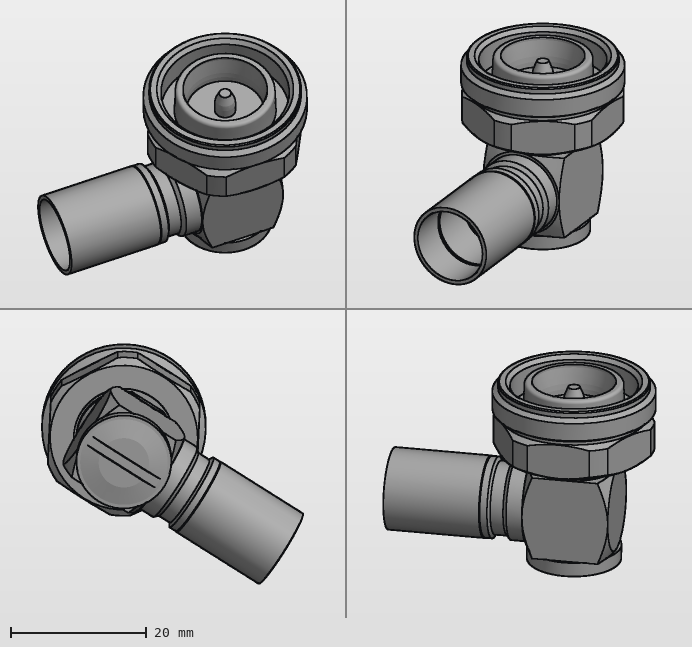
import cadquery as cq
import math


OVERALL_LENGTH = 39.6

BLOCK_HALF = 6.5
BLOCK_BEVEL_ANGLE = math.radians(30)

RIM_Z = 19.72
NUT_DIAMETER = 24.2
NUT_RADIUS = NUT_DIAMETER / 2
LIP_RADIUS = 11.25
LIP_BREAK = 0.2
NECK_RADIUS = 10.9
LIP_BOTTOM = 0.95
NUT_BAND_TOP = 1.5
NUT_BAND_BOTTOM = 4.28
NECK_TOP = 4.95
HEX_TOP = 5.45
HEX_CORNER_TOP = 6.05
HEX_CORNER_BOTTOM = 10.3
HEX_BOTTOM = 11.0
HEX_APOTHEM = 11.0
HEX_CORNER_RADIUS = 11.95
SOCKET_DEPTH = 4.55
SOCKET_RADIUS = 9.45
SOCKET_CHAMFER = 0.65

SLEEVE_TOP_RADIUS = 7.35
SLEEVE_BASE_RADIUS = 7.52
SLEEVE_ROUND = 0.5
SLEEVE_MOUTH_RADIUS = 6.2
SLEEVE_MOUTH_DEPTH = 0.45
SLEEVE_THROAT_RADIUS = 5.8
SLEEVE_THROAT_DEPTH = 2.85
SLEEVE_SEAT_RADIUS = 5.7
SLEEVE_SEAT_DEPTH = 3.7

PIN_RADIUS = 1.55
PIN_SHOULDER_RADIUS = 1.43
PIN_TIP_RADIUS = 0.87
PIN_TIP_DEPTH = 0.87
PIN_SHOULDER_DEPTH = 2.2
PIN_BODY_DEPTH = 3.13

FLANGE_RADIUS = 7.4
FLANGE_BOTTOM = 11.25
COLLAR_RADIUS = 7.05
COLLAR_BOTTOM_RADIUS = BLOCK_HALF
COLLAR_CHAMFER_HEIGHT = 0.87

CAP_RADIUS = 7.0
CAP_HEIGHT = 2.18
DOME_BASE_RADIUS = 6.45
DOME_FLAT_RADIUS = 3.72
DOME_HEIGHT = 0.6
CAP_SLOT_WIDTH = 1.5
CAP_SLOT_DEPTH = 0.48

CABLE_DROP = 0.08
CABLE_LENGTH = OVERALL_LENGTH - NUT_RADIUS
ENTRY_RADIUS = 6.1
ENTRY_NECK_RADIUS = 5.5
ENTRY_SHOULDER_END = 8.95
ENTRY_NECK_START = 9.55
ENTRY_NECK_END = 11.5
FERRULE_SEAT_START = 11.85
FERRULE_START = 12.95
FERRULE_RADIUS = 6.15
FERRULE_GAP = 0.1
FERRULE_GAP_DEPTH = 0.08
FERRULE_BORE_RADIUS = 5.5
BORE_GROOVE_DEPTH = 0.08
BORE_GROOVE_END = 21.4
BORE_GROOVE_WIDTH = 0.4
STEM_RADIUS = 4.8
STEM_TIP_RADIUS = 4.1
STEM_BORE_RADIUS = 3.9
STEM_END = 15.85
STEM_CHAMFER_LENGTH = 1.3
INSULATOR_RADIUS = 3.8
INSULATOR_STEP = 0.15


def turn_mating(points):
    """Revolve (radius, depth below the rim) points about Z."""
    profile = cq.Workplane("XZ").polyline([(r, RIM_Z - depth) for r, depth in points]).close()
    return profile.revolve(360, (0, 0, 0), (0, 1, 0))


def turn_cable(points):
    """Revolve (radius, distance along -Y) points about Y."""
    profile = cq.Workplane("XY").polyline([(r, -distance) for r, distance in points]).close()
    return profile.revolve(360, (0, 0, 0), (0, 1, 0))


def make_block():
    size = 2 * BLOCK_HALF
    bevel_radius = BLOCK_HALF * math.sqrt(2)
    bevel_length = (bevel_radius - BLOCK_HALF) * math.tan(BLOCK_BEVEL_ANGLE)
    turned_limit = turn_cable([
        (0, -BLOCK_HALF),
        (BLOCK_HALF, -BLOCK_HALF),
        (bevel_radius, bevel_length - BLOCK_HALF),
        (bevel_radius, BLOCK_HALF - bevel_length),
        (BLOCK_HALF, BLOCK_HALF),
        (0, BLOCK_HALF),
    ])
    return cq.Workplane("XY").box(size, size, size).intersect(turned_limit)


def make_nut():
    head = turn_mating([
        (0, SOCKET_DEPTH),
        (SOCKET_RADIUS, SOCKET_DEPTH),
        (SOCKET_RADIUS, SOCKET_CHAMFER),
        (SOCKET_RADIUS + SOCKET_CHAMFER, 0),
        (LIP_RADIUS - LIP_BREAK, 0),
        (LIP_RADIUS, LIP_BREAK),
        (LIP_RADIUS, LIP_BOTTOM),
        (NUT_RADIUS, NUT_BAND_TOP),
        (NUT_RADIUS, NUT_BAND_BOTTOM),
        (NECK_RADIUS, NECK_TOP),
        (NECK_RADIUS, HEX_TOP),
        (0, HEX_TOP),
    ])
    hex_limit = turn_mating([
        (0, HEX_TOP),
        (NECK_RADIUS, HEX_TOP),
        (HEX_CORNER_RADIUS, HEX_CORNER_TOP),
        (HEX_CORNER_RADIUS, HEX_CORNER_BOTTOM),
        (NECK_RADIUS, HEX_BOTTOM),
        (0, HEX_BOTTOM),
    ])
    hexagon = (
        cq.Workplane("XY", origin=(0, 0, RIM_Z - HEX_BOTTOM))
        .polygon(6, 2 * HEX_APOTHEM, circumscribed=True)
        .extrude(HEX_BOTTOM - HEX_TOP)
    )
    return head.union(hexagon.intersect(hex_limit))


def make_sleeve():
    round_mid = SLEEVE_ROUND * math.sqrt(0.5)
    round_center_r = SLEEVE_TOP_RADIUS - SLEEVE_ROUND
    round_center_z = RIM_Z - SLEEVE_ROUND
    floor_z = RIM_Z - SOCKET_DEPTH
    return (
        cq.Workplane("XZ")
        .moveTo(SLEEVE_SEAT_RADIUS, floor_z)
        .lineTo(SLEEVE_BASE_RADIUS, floor_z)
        .lineTo(SLEEVE_TOP_RADIUS, round_center_z)
        .threePointArc((round_center_r + round_mid, round_center_z + round_mid), (round_center_r, RIM_Z))
        .lineTo(SLEEVE_MOUTH_RADIUS, RIM_Z)
        .lineTo(SLEEVE_MOUTH_RADIUS, RIM_Z - SLEEVE_MOUTH_DEPTH)
        .lineTo(SLEEVE_THROAT_RADIUS, RIM_Z - SLEEVE_THROAT_DEPTH)
        .lineTo(SLEEVE_SEAT_RADIUS, RIM_Z - SLEEVE_SEAT_DEPTH)
        .close()
        .revolve(360, (0, 0, 0), (0, 1, 0))
    )


def make_pin():
    return (
        cq.Workplane("XZ")
        .moveTo(0, RIM_Z - SOCKET_DEPTH)
        .lineTo(PIN_RADIUS, RIM_Z - SOCKET_DEPTH)
        .lineTo(PIN_RADIUS, RIM_Z - PIN_BODY_DEPTH)
        .tangentArcPoint((PIN_SHOULDER_RADIUS, RIM_Z - PIN_SHOULDER_DEPTH), relative=False)
        .lineTo(PIN_TIP_RADIUS, RIM_Z - PIN_TIP_DEPTH)
        .lineTo(0, RIM_Z - PIN_TIP_DEPTH)
        .close()
        .revolve(360, (0, 0, 0), (0, 1, 0))
    )


def make_collar():
    block_top = RIM_Z - BLOCK_HALF
    turned = turn_mating([
        (0, FLANGE_BOTTOM),
        (COLLAR_RADIUS, FLANGE_BOTTOM),
        (COLLAR_RADIUS, block_top - COLLAR_CHAMFER_HEIGHT),
        (COLLAR_BOTTOM_RADIUS, block_top),
        (0, block_top),
    ])
    flats = cq.Workplane("XY").box(2 * BLOCK_HALF, 2 * COLLAR_RADIUS, 2 * RIM_Z)
    flange = turn_mating([
        (0, HEX_BOTTOM),
        (FLANGE_RADIUS, HEX_BOTTOM),
        (FLANGE_RADIUS, FLANGE_BOTTOM),
        (0, FLANGE_BOTTOM),
    ])
    return flange.union(turned.intersect(flats))


def make_cap():
    top = RIM_Z + BLOCK_HALF
    dome_top = top + CAP_HEIGHT
    bottom = dome_top + DOME_HEIGHT
    cap = turn_mating([
        (0, top),
        (CAP_RADIUS, top),
        (CAP_RADIUS, dome_top),
        (DOME_BASE_RADIUS, dome_top),
        (DOME_FLAT_RADIUS, bottom),
        (0, bottom),
    ])
    slot = (
        cq.Workplane("XY", origin=(0, 0, RIM_Z - bottom))
        .rect(CAP_SLOT_WIDTH, 2 * CAP_RADIUS)
        .extrude(CAP_SLOT_DEPTH)
    )
    return cap.cut(slot)


def make_cable_entry():
    neck = turn_cable([
        (0, BLOCK_HALF),
        (ENTRY_RADIUS, BLOCK_HALF),
        (ENTRY_RADIUS, ENTRY_SHOULDER_END),
        (ENTRY_NECK_RADIUS, ENTRY_NECK_START),
        (ENTRY_NECK_RADIUS, ENTRY_NECK_END),
        (ENTRY_RADIUS, FERRULE_SEAT_START),
        (ENTRY_RADIUS, FERRULE_START),
        (0, FERRULE_START),
    ])
    groove_radius = FERRULE_BORE_RADIUS + BORE_GROOVE_DEPTH
    ferrule = turn_cable([
        (FERRULE_BORE_RADIUS, FERRULE_START),
        (ENTRY_RADIUS - FERRULE_GAP_DEPTH, FERRULE_START),
        (ENTRY_RADIUS - FERRULE_GAP_DEPTH, FERRULE_START + FERRULE_GAP),
        (FERRULE_RADIUS, FERRULE_START + FERRULE_GAP),
        (FERRULE_RADIUS, CABLE_LENGTH),
        (FERRULE_BORE_RADIUS, CABLE_LENGTH),
        (FERRULE_BORE_RADIUS, BORE_GROOVE_END),
        (groove_radius, BORE_GROOVE_END),
        (groove_radius, BORE_GROOVE_END - BORE_GROOVE_WIDTH),
        (FERRULE_BORE_RADIUS, BORE_GROOVE_END - BORE_GROOVE_WIDTH),
    ])
    stem = turn_cable([
        (0, FERRULE_START),
        (STEM_RADIUS, FERRULE_START),
        (STEM_RADIUS, STEM_END - STEM_CHAMFER_LENGTH),
        (STEM_TIP_RADIUS, STEM_END),
        (0, STEM_END),
    ])
    stem_bore = turn_cable([
        (0, BLOCK_HALF),
        (INSULATOR_RADIUS, BLOCK_HALF),
        (INSULATOR_RADIUS, BLOCK_HALF + INSULATOR_STEP),
        (STEM_BORE_RADIUS, BLOCK_HALF + INSULATOR_STEP),
        (STEM_BORE_RADIUS, STEM_END),
        (0, STEM_END),
    ])
    entry = neck.union(ferrule).union(stem).cut(stem_bore)
    return entry.translate((0, 0, -CABLE_DROP))


result = make_block()
for feature in (make_collar(), make_nut(), make_sleeve(), make_pin(), make_cap(), make_cable_entry()):
    result = result.union(feature)